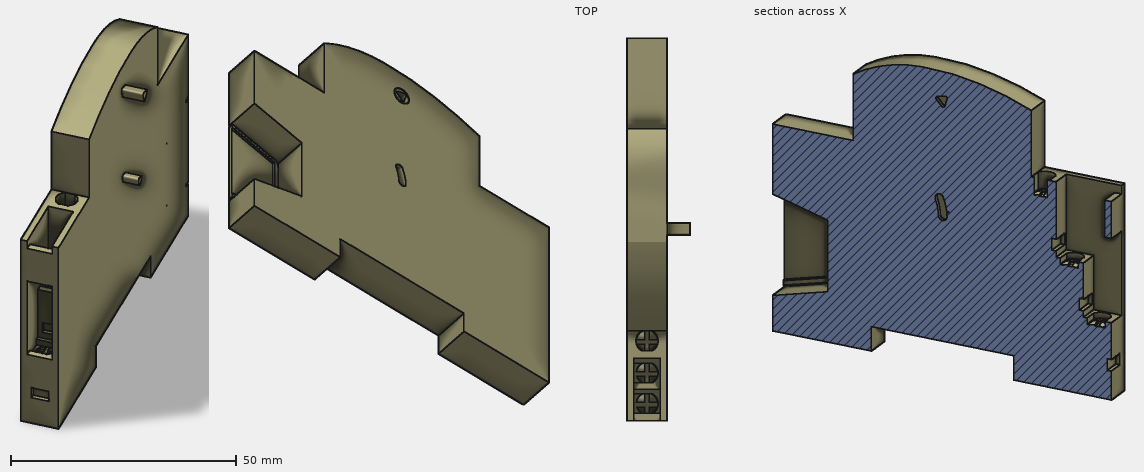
import cadquery as cq
import math

WIDTH = 8.9
FRONT_Y = -42.5
BACK_Y = 42.5
SHOULDER_Z = 50.0

RAIL_FRONT_Y = -17.9
RAIL_BACK_Y = 17.8
RAIL_HEIGHT = 5.9

CROWN_FRONT_Y = -22.4
CROWN_BACK_Y = 22.35
CROWN_EDGE_Z = 66.0
APEX_Y = 4.25
APEX_Z = 71.15
FLAT_BACK_Y = 1.4
FLAT_FRONT = (-2.7, 70.9)
FRONT_ARC_MIDDLE = (-12.4, 69.2)

NOTCH_Z = 20.8
NOTCH_END_Y = 28.8
NOTCH_END_HALF = 8.6
NOTCH_SLOPE = math.tan(math.radians(14.6))
NOTCH_OVERRUN = 4.25
RIM_INSET = 0.5
PLATE_THICKNESS = 1.3
PLATE_FLARE = 1.2
RIM_CORNER_RADIUS = 1.6
SLIT_LENGTH = 1.3
PANEL_INSET = 1.5
PANEL_DEPTH = 0.3
PANEL_TAPER = 37.0

STAIR_LEFT_X = 1.5
STAIR_RIGHT_X = 7.4
STAIR_BACK_Y = -28.65
STEP_Y = -35.5
UPPER_FLOOR_Z = 31.8
LOWER_FLOOR_Z = 18.7
FRONT_WALL = 1.7
WALL_TOP_Z = 47.9
WINDOW_TOP_Z = 38.9

SCREW_OPENING_RADIUS = 2.5
SCREW_OPENING_LENGTH = 4.4
SCREW_HEAD_RADIUS = 2.4
SCREW_DOME_HEIGHT = 0.8
DRIVE_SLOT_WIDTH = 1.0
DRIVE_OFFSET_Y = -0.25
TOP_SCREW_Y = -24.7
TOP_SCREW_DEPTH = 4.25
STEP_SCREW_DEPTH = 1.5
STEP_SCREWS = [(-31.9, UPPER_FLOOR_Z), (-38.7, LOWER_FLOOR_Z)]

ENTRY_LEFT_X = 2.55
ENTRY_WIDTH = 4.1
ENTRY_HEIGHT = 2.7
ENTRY_DEPTH = 1.0
WIRE_ENTRIES = [(STAIR_BACK_Y, 34.7), (STEP_Y, 21.6), (FRONT_Y, 8.4)]

HUB_Z = 63.9
HUB_RADIUS = 2.1
HUB_GROOVE = 0.1
HUB_TRIANGLE_RADIUS = 1.1
HUB_TRIANGLE_CORNER = 0.4
TRIANGLE_TURN = 17.0
SOCKET_DEPTH = 3.4
DRIVE_PIN_LENGTH = 5.1

SLOT_TOP = (0.7, 40.2)
SLOT_MIDDLE = (0.1, 38.25)
SLOT_BOTTOM = (-0.2, 36.1)
SLOT_RADIUS = 1.0
SLOT_DEPTH = 3.4
TRIP_PIN_CENTER = (0.3, 39.9)
TRIP_PIN_RADIUS = 0.7
TRIP_PIN_CORNER = 0.5
TRIP_PIN_LENGTH = 3.8


def side_plane(x):
    """YZ sketch plane at the given X; extrusions run toward +X."""
    return cq.Workplane("YZ", origin=(x, 0, 0))


def box(x0, x1, y0, y1, z0, z1):
    return cq.Workplane("XY").box(x1 - x0, y1 - y0, z1 - z0, centered=False).translate((x0, y0, z0))


def housing():
    drop = APEX_Z - CROWN_EDGE_Z
    reach = CROWN_BACK_Y - APEX_Y
    radius = (reach**2 + drop**2) / (2 * drop)

    def rear_arc_point(y):
        return y, APEX_Z - radius + math.sqrt(radius**2 - (y - APEX_Y) ** 2)

    return (
        side_plane(0)
        .moveTo(FRONT_Y, 0)
        .lineTo(RAIL_FRONT_Y, 0)
        .lineTo(RAIL_FRONT_Y, RAIL_HEIGHT)
        .lineTo(RAIL_BACK_Y, RAIL_HEIGHT)
        .lineTo(RAIL_BACK_Y, 0)
        .lineTo(BACK_Y, 0)
        .lineTo(BACK_Y, SHOULDER_Z)
        .lineTo(CROWN_BACK_Y, SHOULDER_Z)
        .lineTo(CROWN_BACK_Y, CROWN_EDGE_Z)
        .threePointArc((APEX_Y, APEX_Z), rear_arc_point(FLAT_BACK_Y))
        .lineTo(*FLAT_FRONT)
        .threePointArc(FRONT_ARC_MIDDLE, (CROWN_FRONT_Y, CROWN_EDGE_Z))
        .lineTo(CROWN_FRONT_Y, SHOULDER_Z)
        .lineTo(FRONT_Y, SHOULDER_Z)
        .close()
        .extrude(WIDTH)
    )


def notch_outline(x, inset):
    """Notch trapezoid moved inward by inset, widening past the back edge."""
    end_y = NOTCH_END_Y + inset
    end_half = NOTCH_END_HALF + inset * (NOTCH_SLOPE - math.hypot(1, NOTCH_SLOPE))
    back_y = BACK_Y + NOTCH_OVERRUN
    back_half = end_half + (back_y - end_y) * NOTCH_SLOPE
    return side_plane(x).polyline(
        [
            (end_y, NOTCH_Z - end_half),
            (back_y, NOTCH_Z - back_half),
            (back_y, NOTCH_Z + back_half),
            (end_y, NOTCH_Z + end_half),
        ]
    ).close()


def clip_plate():
    """Flared plate with rounded inner corners, open slits and a sunk panel."""
    rim_x = WIDTH - PLATE_THICKNESS
    flare_angle = math.degrees(math.atan2(PLATE_FLARE, PLATE_THICKNESS))
    core = notch_outline(rim_x, RIM_INSET).extrude(PLATE_THICKNESS)
    core = core.edges("|X and <Y").fillet(RIM_CORNER_RADIUS)
    plate = core.faces("<X").wires().toPending().extrude(PLATE_THICKNESS, taper=-flare_angle)
    plate = plate.intersect(box(rim_x, WIDTH, FRONT_Y, BACK_Y, 0, SHOULDER_Z))
    panel = notch_outline(rim_x, PANEL_INSET).extrude(PANEL_DEPTH, taper=PANEL_TAPER)
    return plate.cut(panel)


def edge_slits():
    """Gaps between clip plate and notch at the back edge."""
    gap = notch_outline(0, 0).extrude(WIDTH).cut(notch_outline(0, RIM_INSET).extrude(WIDTH))
    return gap.intersect(box(0, WIDTH, BACK_Y - SLIT_LENGTH, BACK_Y, 0, SHOULDER_Z))


def terminal_stair():
    inner_y = FRONT_Y + FRONT_WALL
    upper = box(STAIR_LEFT_X, STAIR_RIGHT_X, inner_y, STAIR_BACK_Y, UPPER_FLOOR_Z, SHOULDER_Z)
    lower = box(STAIR_LEFT_X, STAIR_RIGHT_X, FRONT_Y, STEP_Y, LOWER_FLOOR_Z, WINDOW_TOP_Z)
    lip = box(STAIR_LEFT_X, STAIR_RIGHT_X, FRONT_Y, inner_y, WALL_TOP_Z, SHOULDER_Z)
    return upper.union(lower).union(lip)


def screw_hole(y, top_z, depth, channel_left_x=None):
    """Space around a cross-slotted screw head in its hole, with an optional channel to the left."""
    axis_x = WIDTH / 2
    bottom_z = top_z - depth
    near_y = y - SCREW_OPENING_LENGTH / 2
    far_y = y + SCREW_OPENING_LENGTH / 2
    hole = cq.Workplane("XY", origin=(axis_x, y, bottom_z)).circle(SCREW_OPENING_RADIUS).extrude(depth)
    hole = hole.intersect(box(0, WIDTH, near_y, far_y, bottom_z, top_z))
    if channel_left_x is not None:
        hole = hole.union(box(channel_left_x, axis_x, near_y, far_y, bottom_z, top_z))

    ball_radius = (SCREW_HEAD_RADIUS**2 + SCREW_DOME_HEIGHT**2) / (2 * SCREW_DOME_HEIGHT)
    ball_z = bottom_z + SCREW_DOME_HEIGHT - ball_radius
    head = cq.Workplane("XY", origin=(axis_x, y, ball_z)).sphere(ball_radius)
    drive = cq.Workplane("XY", origin=(axis_x, y + DRIVE_OFFSET_Y, bottom_z))
    slot_length = 2 * (SCREW_HEAD_RADIUS + abs(DRIVE_OFFSET_Y))
    head = head.cut(drive.rect(slot_length, DRIVE_SLOT_WIDTH).extrude(SCREW_DOME_HEIGHT))
    head = head.cut(drive.rect(DRIVE_SLOT_WIDTH, slot_length).extrude(SCREW_DOME_HEIGHT))
    return hole.cut(head)


def triangle(x, length, y, z, reach, corner_radius):
    """Triangular bar along X with its corners rounded about points at the given reach."""
    corners = []
    for i in range(3):
        angle = math.radians(TRIANGLE_TURN + 120 * i)
        corners.append((y + reach * math.cos(angle), z + reach * math.sin(angle)))
    return side_plane(x).polyline(corners).close().offset2D(corner_radius).extrude(length)


def hub_triangle(x, length):
    return triangle(x, length, 0, HUB_Z, HUB_TRIANGLE_RADIUS, HUB_TRIANGLE_CORNER)


def hub_groove():
    ring = side_plane(0).center(0, HUB_Z).circle(HUB_RADIUS).circle(HUB_RADIUS - HUB_GROOVE)
    return ring.extrude(HUB_GROOVE)


def trip_slot():
    path = cq.Edge.makeThreePointArc(
        cq.Vector(0, *SLOT_TOP), cq.Vector(0, *SLOT_MIDDLE), cq.Vector(0, *SLOT_BOTTOM)
    )
    outline = cq.Wire.assembleEdges([path]).offset2D(SLOT_RADIUS)[0]
    return cq.Workplane(cq.Solid.extrudeLinear(outline, [], cq.Vector(SLOT_DEPTH, 0, 0)))


def trip_pin():
    return triangle(WIDTH, TRIP_PIN_LENGTH, *TRIP_PIN_CENTER, TRIP_PIN_RADIUS, TRIP_PIN_CORNER)


result = housing().cut(notch_outline(0, 0).extrude(WIDTH))
result = result.union(clip_plate()).cut(edge_slits())
result = result.cut(terminal_stair())
result = result.cut(screw_hole(TOP_SCREW_Y, SHOULDER_Z, TOP_SCREW_DEPTH))
for screw_y, floor_z in STEP_SCREWS:
    result = result.cut(screw_hole(screw_y, floor_z, STEP_SCREW_DEPTH, STAIR_LEFT_X))
for wall_y, entry_z in WIRE_ENTRIES:
    entry = box(0, ENTRY_WIDTH, 0, ENTRY_DEPTH, -ENTRY_HEIGHT / 2, ENTRY_HEIGHT / 2)
    result = result.cut(entry.translate((ENTRY_LEFT_X, wall_y, entry_z)))
result = result.cut(hub_groove()).cut(hub_triangle(0, SOCKET_DEPTH)).cut(trip_slot())
result = result.union(hub_triangle(WIDTH, DRIVE_PIN_LENGTH)).union(trip_pin())